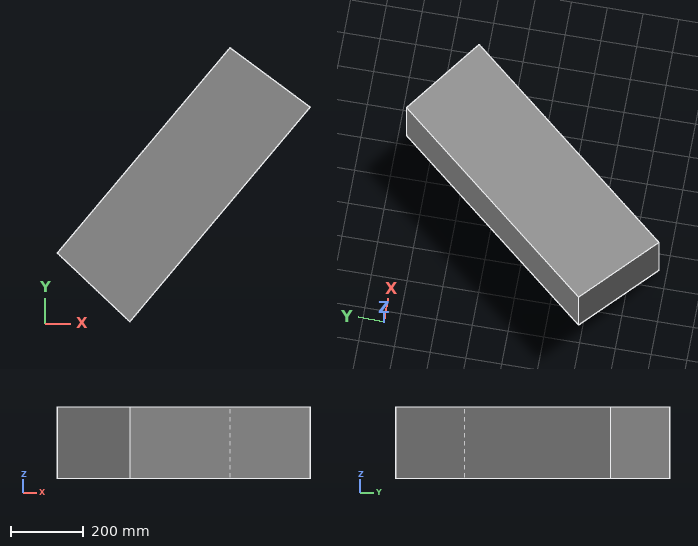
import cadquery as cq

length_x = 697.0
length_y = 755.0
height = 197.0

left_corner_y = 189.5
bottom_corner_x = 200.0
right_corner_y = 591.0
top_corner_x = 475.5

plan_corners = [
    (0, left_corner_y),
    (bottom_corner_x, 0),
    (length_x, right_corner_y),
    (top_corner_x, length_y),
]

result = cq.Workplane("XY").polyline(plan_corners).close().extrude(height)